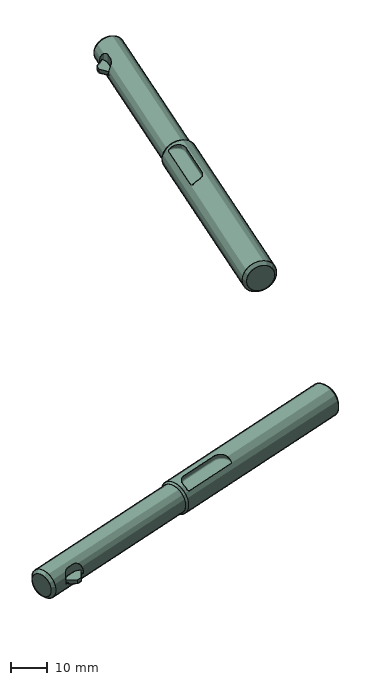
import cadquery as cq

length = 115.0
grip_diameter = 8.9
barrel_diameter = 10.0
shoulder_start = 53.1
shoulder_chamfer = (barrel_diameter - grip_diameter) / 2
end_chamfer = 0.9

pocket_start = 55.0
pocket_length = 17.6
pocket_back = 0.5
pocket_corner = 2.9
pocket_floor = 3.3
pocket_floor_fillet = 0.5

window_center = 8.5
window_length = 7.4
window_back = -2.9
window_corner = 2.6
window_floor = -0.2
pointer_tip_width = 1.6
pointer_thickness = 1.3
pointer_reach = 1.7

grip_radius = grip_diameter / 2
barrel_radius = barrel_diameter / 2
pointer_tip = -grip_radius - pointer_reach
cut_depth = barrel_diameter


def make_body():
    """Revolve the stepped outline with its chamfered ends and shoulder."""
    outline = [
        (0, 0),
        (0, grip_radius - end_chamfer),
        (end_chamfer, grip_radius),
        (shoulder_start, grip_radius),
        (shoulder_start + shoulder_chamfer, barrel_radius),
        (length - end_chamfer, barrel_radius),
        (length, barrel_radius - end_chamfer),
        (length, 0),
    ]
    return cq.Workplane("XY").polyline(outline).close().revolve(360, (0, 0, 0), (1, 0, 0))


def side_pocket(center, size, back, corner, floor):
    """Cutter with a level floor and rounded back corners, open towards -Y and +Z."""
    return (
        cq.Workplane("XY", origin=(center, back - cut_depth / 2, floor))
        .box(size, cut_depth, cut_depth, centered=(True, True, False))
        .edges("|Z and >Y")
        .fillet(corner)
    )


def make_pointer():
    """Flat trapezoid with 45 degree flanks, centred on the body axis."""
    tip_half = pointer_tip_width / 2
    root_half = tip_half + window_back - pointer_tip
    return (
        cq.Workplane("XY", origin=(window_center, 0, -pointer_thickness / 2))
        .moveTo(-tip_half, pointer_tip)
        .lineTo(tip_half, pointer_tip)
        .lineTo(root_half, window_back)
        .lineTo(-root_half, window_back)
        .close()
        .extrude(pointer_thickness)
    )


barrel_pocket = side_pocket(
    pocket_start + pocket_length / 2, pocket_length, pocket_back, pocket_corner, pocket_floor
)
barrel_pocket = barrel_pocket.faces("<Z").edges().fillet(pocket_floor_fillet)
window = side_pocket(window_center, window_length, window_back, window_corner, window_floor)

result = make_body().cut(barrel_pocket).cut(window).union(make_pointer())